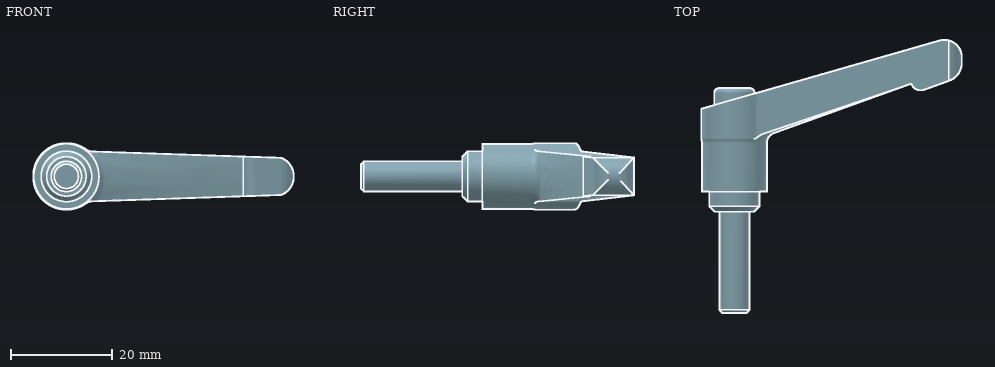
import cadquery as cq
import math


STUD_RADIUS = 3.0
STUD_LENGTH = 20.0
STUD_CHAMFER = 0.6
COLLAR_RADIUS = 5.0
COLLAR_LENGTH = 4.0
COLLAR_CHAMFER = 1.1
SCREW_RADIUS = 4.0
SCREW_TOP = 20.5
SCREW_ROUND = 1.0

HUB_RADIUS = 6.45
HEAD_RADIUS = 6.6
NECK_START = 9.65
NECK_ROUND = 2.0

TOP_ANGLE = math.radians(16.0)
TOP_AT_HUB_SIDE = 16.37

ARM_TIP_X = 44.99
ARM_ROOT_HALF_WIDTH = 5.12
ARM_END_X = 42.4
ARM_END_HALF_WIDTH = 3.7
TIP_UPPER_ROUND = 3.5
TIP_LOWER_ROUND = 3.9
FLANK_ROUND = 2.0
UNDERSIDE_ANGLE = math.radians(19.8)
NOTCH_X = 34.95
THUMB_RADIUS = 2.0

FLARE_TURN = math.pi / 2 - UNDERSIDE_ANGLE
FLARE_RADIUS = HUB_RADIUS + NECK_ROUND * (1 - math.cos(FLARE_TURN))
FLARE_TOP = NECK_START + NECK_ROUND * math.sin(FLARE_TURN)
NOTCH_Y = FLARE_TOP + (NOTCH_X - FLARE_RADIUS) * math.tan(UNDERSIDE_ANGLE)

MARGIN = 0.5

BLANK_HALF = HEAD_RADIUS + MARGIN


def top_height(x):
    """Y of the sloped top plane at a given X."""
    return TOP_AT_HUB_SIDE + (x + HEAD_RADIUS) * math.tan(TOP_ANGLE)


def cylinder(radius, y_start, y_end):
    """Cylinder on the stud axis."""
    base = cq.Workplane("XZ", origin=(0, y_start, 0)).circle(radius)
    return base.extrude(y_start - y_end)


def make_plan():
    """Prism along Y: round head, tapered arm with rounded end, filleted where they meet."""
    head = cylinder(HEAD_RADIUS, 0, top_height(ARM_TIP_X))
    arm = (
        cq.Workplane("XZ")
        .moveTo(0, -ARM_ROOT_HALF_WIDTH)
        .lineTo(ARM_END_X, -ARM_END_HALF_WIDTH)
        .threePointArc((ARM_TIP_X, 0), (ARM_END_X, ARM_END_HALF_WIDTH))
        .lineTo(0, ARM_ROOT_HALF_WIDTH)
        .close()
        .extrude(-top_height(ARM_TIP_X))
    )
    corner_x = math.sqrt(HEAD_RADIUS**2 - ARM_ROOT_HALF_WIDTH**2)
    corners = cq.selectors.BoxSelector(
        (corner_x - MARGIN, 0, -HEAD_RADIUS),
        (corner_x + MARGIN, top_height(ARM_TIP_X), HEAD_RADIUS),
    )
    return head.union(arm).edges("|Y").edges(corners).fillet(FLANK_ROUND)


def make_neck():
    """Revolved hub top that flares out into the underside of the arm."""
    mid_turn = FLARE_TURN / 2
    flare_middle = (
        HUB_RADIUS + NECK_ROUND * (1 - math.cos(mid_turn)),
        NECK_START + NECK_ROUND * math.sin(mid_turn),
    )
    return (
        cq.Workplane("XY")
        .moveTo(0, NECK_START)
        .lineTo(HUB_RADIUS, NECK_START)
        .threePointArc(flare_middle, (FLARE_RADIUS, FLARE_TOP))
        .lineTo(0, FLARE_TOP)
        .close()
        .revolve(360, (0, 0, 0), (0, 1, 0))
    )


def make_shank():
    """Head and arm up to the notch; the underside is ruled from the flare rim to the notch edge."""
    blank = (
        cq.Workplane("XY")
        .moveTo(-HEAD_RADIUS, FLARE_TOP)
        .lineTo(NOTCH_X, FLARE_TOP)
        .lineTo(NOTCH_X, top_height(NOTCH_X))
        .lineTo(-HEAD_RADIUS, TOP_AT_HUB_SIDE)
        .close()
        .extrude(BLANK_HALF, both=True)
    )
    far_x = NOTCH_X + MARGIN
    rim_x = math.sqrt(FLARE_RADIUS**2 - BLANK_HALF**2)
    below_arm = (
        cq.Workplane("XZ", origin=(0, FLARE_TOP, 0))
        .moveTo(far_x, -BLANK_HALF)
        .lineTo(rim_x, -BLANK_HALF)
        .threePointArc((FLARE_RADIUS, 0), (rim_x, BLANK_HALF))
        .lineTo(far_x, BLANK_HALF)
        .close()
        .workplane(offset=FLARE_TOP - NOTCH_Y)
        .moveTo(far_x, -BLANK_HALF)
        .lineTo(NOTCH_X, -BLANK_HALF)
        .lineTo(NOTCH_X, BLANK_HALF)
        .lineTo(far_x, BLANK_HALF)
        .close()
        .loft(ruled=True)
    )
    return blank.cut(below_arm)


def make_grip():
    """Arm end beyond the notch, with the thumb bump below and rounded tip corners."""
    slope_x = math.cos(UNDERSIDE_ANGLE)
    slope_y = math.sin(UNDERSIDE_ANGLE)
    center = (NOTCH_X + THUMB_RADIUS * slope_x, NOTCH_Y + THUMB_RADIUS * slope_y)
    bump_end = (center[0] + THUMB_RADIUS * slope_y, center[1] - THUMB_RADIUS * slope_x)
    middle_angle = UNDERSIDE_ANGLE - 3 * math.pi / 4
    bump_middle = (
        center[0] + THUMB_RADIUS * math.cos(middle_angle),
        center[1] + THUMB_RADIUS * math.sin(middle_angle),
    )
    tip_low_y = bump_end[1] + (ARM_TIP_X - bump_end[0]) * math.tan(UNDERSIDE_ANGLE)
    return (
        cq.Workplane("XY")
        .moveTo(NOTCH_X, NOTCH_Y)
        .threePointArc(bump_middle, bump_end)
        .lineTo(ARM_TIP_X, tip_low_y)
        .lineTo(ARM_TIP_X, top_height(ARM_TIP_X))
        .lineTo(NOTCH_X, top_height(NOTCH_X))
        .close()
        .extrude(BLANK_HALF, both=True)
        .edges("|Z and >Y")
        .fillet(TIP_UPPER_ROUND)
        .edges(cq.selectors.NearestToPointSelector((ARM_TIP_X, tip_low_y, 0)))
        .fillet(TIP_LOWER_ROUND)
    )


lever = make_shank().union(make_grip()).union(make_neck()).intersect(make_plan())
hub = cylinder(HUB_RADIUS, 0, NECK_START)
collar = cylinder(COLLAR_RADIUS, -COLLAR_LENGTH, 0).faces("<Y").chamfer(COLLAR_CHAMFER)
stud = (
    cylinder(STUD_RADIUS, -COLLAR_LENGTH - STUD_LENGTH, 0)
    .faces("<Y")
    .chamfer(STUD_CHAMFER)
)
screw = cylinder(SCREW_RADIUS, NECK_START, SCREW_TOP).faces(">Y").edges().fillet(SCREW_ROUND)

result = lever.union(hub).union(collar).union(stud).union(screw)